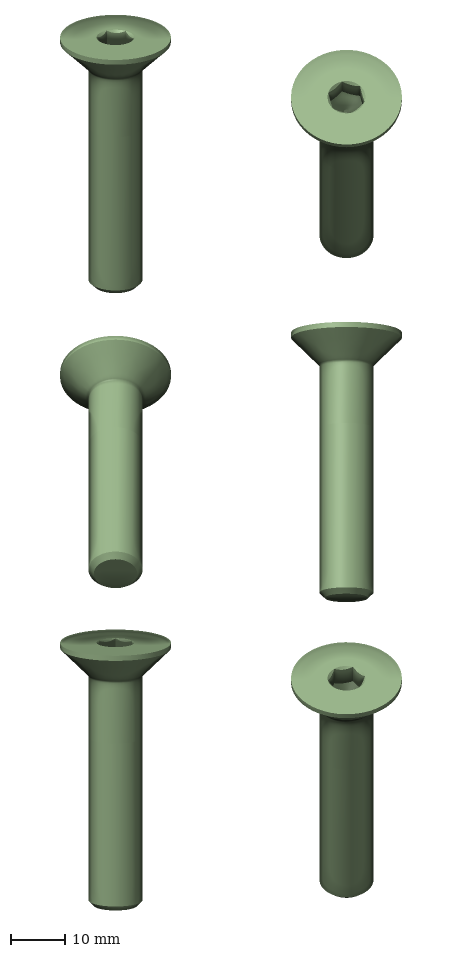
import cadquery as cq
import math

length = 50.0
head_radius = 20.5 / 2
shank_radius = 10.0 / 2
rim_height = 0.97
plain_end_depth = 18.0
tip_chamfer = 1.0
neck_fillet_radius = 0.55

head_cone_angle = math.radians(45)
cone_end_depth = rim_height + head_radius - shank_radius

across_flats = 6.05
hexagon_sides = 6
across_corners = across_flats / math.cos(math.pi / hexagon_sides)
mouth_radius = 7.0 / 2
mouth_cone_angle = math.radians(45)
wall_depth = 3.5
floor_flat_radius = 0.5
floor_slope = math.radians(30)


def spin(profile):
    """Revolve a closed XZ profile about the screw axis, keeping its faces separate."""
    return profile.revolve(360, (0, 0, 0), (0, 1, 0), clean=False)


def screw_body():
    """Revolved head, neck fillet, plain shank, threaded length and chamfered tip."""
    half_arc = head_cone_angle / 2
    tangent_length = neck_fillet_radius * math.tan(half_arc)
    diagonal = tangent_length * math.sin(head_cone_angle)
    arc_mid_gap = neck_fillet_radius * (1 - math.cos(half_arc))
    arc_mid_drop = neck_fillet_radius * math.sin(half_arc)
    fillet_end = cone_end_depth + tangent_length
    profile = (
        cq.Workplane("XZ")
        .lineTo(head_radius, 0)
        .lineTo(head_radius, -rim_height)
        .lineTo(shank_radius + diagonal, -cone_end_depth + diagonal)
        .threePointArc(
            (shank_radius + arc_mid_gap, -fillet_end + arc_mid_drop),
            (shank_radius, -fillet_end),
        )
        .lineTo(shank_radius, -plain_end_depth)
        .lineTo(shank_radius, -length + tip_chamfer)
        .lineTo(shank_radius - tip_chamfer, -length)
        .lineTo(0, -length)
        .close()
    )
    return spin(profile)


def socket():
    """Hexagonal socket with a conical floor and a chamfered round mouth."""
    corner_radius = across_corners / 2
    floor_drop = (corner_radius - floor_flat_radius) * math.tan(floor_slope)
    floor_depth = wall_depth + floor_drop
    hexagon = cq.Workplane("XY").polygon(hexagon_sides, across_corners).extrude(-floor_depth)
    floor_profile = (
        cq.Workplane("XZ")
        .lineTo(corner_radius, 0)
        .lineTo(corner_radius, -wall_depth)
        .lineTo(floor_flat_radius, -floor_depth)
        .lineTo(0, -floor_depth)
        .close()
    )
    mouth_depth = mouth_radius / math.tan(mouth_cone_angle)
    mouth_profile = (
        cq.Workplane("XZ")
        .lineTo(mouth_radius, 0)
        .lineTo(0, -mouth_depth)
        .close()
    )
    return hexagon.intersect(spin(floor_profile)).union(spin(mouth_profile))


result = screw_body().cut(socket(), clean=False)